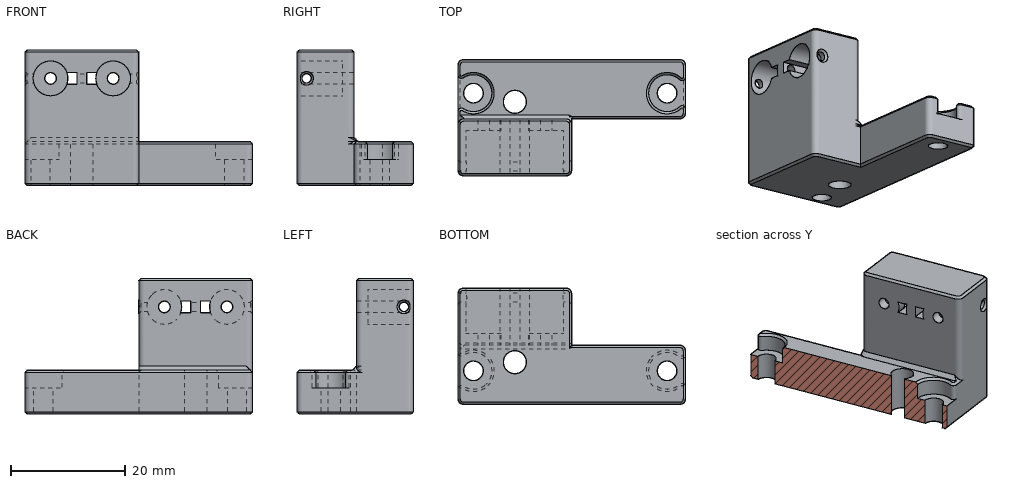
import cadquery as cq
import math

length = 39.92
depth = 20.45
height = 23.8

tower_width = 19.95
tower_depth = 10.0
base_height = 7.7
corner_radius = 1.0
edge_chamfer = 0.4
foot_chamfer = 0.7

seat_radius = 3.25
seat_depth = 3.1
seat_y = 14.55
left_seat_x = 2.7
right_seat_inset = 3.25
right_seat_x = length - right_seat_inset
lip_radius = 0.6
screw_diameter = 3.4

base_hole_diameter = 4.0
base_hole_x = tower_width / 2
base_hole_y = 13.0

bore_diameter = 6.1
bore_depth = 8.0
bore_through_diameter = 2.0
bore_spacing = 10.98
bore_z = 18.8
slot_height = 2.0
slot_gap = 1.75

cross_hole_diameter = 1.6
cross_hole_y = 1.68
countersink_diameter = 2.4


def vertical_hole(x, y, diameter, bottom, top):
    return cq.Workplane("XY", origin=(x, y, bottom)).circle(diameter / 2).extrude(top - bottom)


def make_seat(inset):
    """Round pocket open at x = 0, its mouth flared by the rounded lips."""
    lip_offset = math.sqrt((seat_radius + lip_radius) ** 2 - (inset - lip_radius) ** 2)
    share = seat_radius / (seat_radius + lip_radius)
    meet_x = inset + share * (lip_radius - inset)
    meet_y = share * lip_offset
    meet_angle = math.atan2(meet_y - lip_offset, meet_x - lip_radius)
    middle_angle = (meet_angle - math.pi) / 2
    middle_x = lip_radius + lip_radius * math.cos(middle_angle)
    middle_y = lip_offset + lip_radius * math.sin(middle_angle)
    return (
        cq.Workplane("XY", origin=(0, seat_y, base_height - seat_depth))
        .moveTo(0, lip_offset)
        .threePointArc((middle_x, middle_y), (meet_x, meet_y))
        .threePointArc((inset + seat_radius, 0), (meet_x, -meet_y))
        .threePointArc((middle_x, -middle_y), (0, -lip_offset))
        .close()
        .extrude(seat_depth)
    )


def make_base():
    """L-shaped base with open screw seats and chamfered rims."""
    outline = [
        (0, 0),
        (tower_width, 0),
        (tower_width, tower_depth),
        (length, tower_depth),
        (length, depth),
        (0, depth),
    ]
    base = cq.Workplane("XY").polyline(outline).close().extrude(base_height)
    inner_corner = cq.selectors.BoxSelector(
        (tower_width - 0.4, tower_depth - 0.4, 0), (tower_width + 0.4, tower_depth + 0.4, base_height)
    )
    upright_edges = cq.selectors.ParallelDirSelector(cq.Vector(0, 0, 1))
    base = base.edges(upright_edges - inner_corner).fillet(corner_radius)
    left_seat = make_seat(left_seat_x)
    right_seat = make_seat(right_seat_inset).mirror("YZ").translate((length, 0, 0))
    base = base.cut(left_seat).cut(right_seat)
    base = base.faces(">Z").edges().chamfer(edge_chamfer)
    return base.faces("<Z").edges().chamfer(edge_chamfer)


def make_tower():
    """Upright block with rounded corners and chamfered top and bottom."""
    tower = cq.Workplane("XY").box(tower_width, tower_depth, height, centered=False)
    tower = tower.edges("|Z").fillet(corner_radius)
    return tower.faces("|Z").edges().chamfer(edge_chamfer)


def make_foot():
    """Sloped foot along the rear of the tower, turning round both rear corners."""
    arc_y = tower_depth - corner_radius
    left_arc_x = corner_radius
    right_arc_x = tower_width - corner_radius
    foot = (
        cq.Workplane("YZ", origin=(left_arc_x, 0, 0))
        .moveTo(arc_y, base_height)
        .lineTo(tower_depth + foot_chamfer, base_height)
        .lineTo(tower_depth, base_height + foot_chamfer)
        .lineTo(arc_y, base_height + foot_chamfer)
        .close()
        .extrude(right_arc_x - left_arc_x)
    )
    for x in (left_arc_x, right_arc_x):
        cone = cq.Solid.makeCone(
            corner_radius + foot_chamfer,
            corner_radius,
            foot_chamfer,
            pnt=cq.Vector(x, arc_y, base_height),
        )
        foot = foot.union(cq.Workplane(cone))
    limits = (
        cq.Workplane("XZ", origin=(0, arc_y, 0))
        .moveTo(edge_chamfer, base_height)
        .lineTo(tower_width, base_height)
        .lineTo(tower_width, base_height + foot_chamfer)
        .lineTo(edge_chamfer + foot_chamfer, base_height + foot_chamfer)
        .close()
        .extrude(-(corner_radius + foot_chamfer))
    )
    return foot.intersect(limits)


def drill_base(body):
    for x in (left_seat_x, right_seat_x):
        body = body.cut(vertical_hole(x, seat_y, screw_diameter, 0, base_height))
    return body.cut(vertical_hole(base_hole_x, base_hole_y, base_hole_diameter, 0, base_height))


def drill_tower(body):
    front = cq.Workplane("XZ", origin=(tower_width / 2, 0, bore_z))
    for side in (-1, 1):
        bore = front.center(side * bore_spacing / 2, 0)
        bore_cutter = bore.circle(bore_diameter / 2).extrude(-bore_depth)
        bore_shadow = bore.circle(bore_diameter / 2).extrude(-tower_depth)
        through_hole = bore.circle(bore_through_diameter / 2).extrude(-tower_depth)
        slot_width = (bore_spacing - slot_gap) / 2
        slot = front.center(side * (slot_gap + slot_width) / 2, 0)
        slot = slot.rect(slot_width, slot_height).extrude(-tower_depth)
        body = body.cut(bore_cutter).cut(through_hole).cut(slot.cut(bore_shadow))
    return body


def drill_cross_hole(body):
    countersink_depth = (countersink_diameter - cross_hole_diameter) / 2
    hole = cq.Workplane("YZ").center(cross_hole_y, bore_z).circle(cross_hole_diameter / 2)
    body = body.cut(hole.extrude(tower_width))
    for x, inward in ((0, 1), (tower_width, -1)):
        countersink = cq.Solid.makeCone(
            countersink_diameter / 2,
            cross_hole_diameter / 2,
            countersink_depth,
            pnt=cq.Vector(x, cross_hole_y, bore_z),
            dir=cq.Vector(inward, 0, 0),
        )
        body = body.cut(cq.Workplane(countersink))
    return body


body = make_base().union(make_tower()).union(make_foot())
body = drill_base(body)
body = drill_tower(body)
result = drill_cross_hole(body)